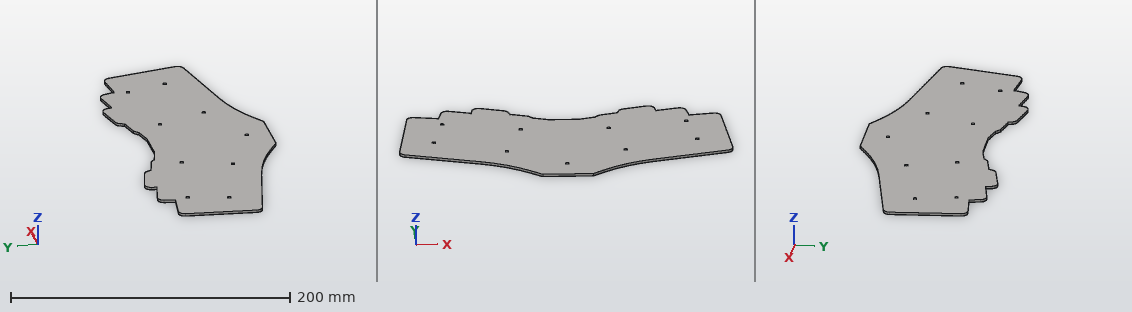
import cadquery as cq

THICKNESS = 2.0
HOLE_DIAMETER = 2.5
CORNER_RADIUS = 4.8
FRONT_SWEEP_RADIUS = 105.2

HALF_OUTLINE = [
    (18.2, 0.0, 0),
    (42.3, 17.0, FRONT_SWEEP_RADIUS),
    (120.0, 35.6, CORNER_RADIUS),
    (112.2, 95.5, CORNER_RADIUS),
    (90.0, 92.3, 0),
    (86.8, 105.0, CORNER_RADIUS),
    (66.2, 100.2, 0),
    (64.5, 109.0, CORNER_RADIUS),
    (40.5, 102.8, CORNER_RADIUS),
    (38.5, 97.5, 0),
    (25.5, 94.2, 0),
    (22.2, 91.0, 0),
    (11.0, 88.0, 0),
]

CENTRE_HOLE = (0.0, 17.0)
PAIRED_HOLES = [(87.5, 82.7), (94.5, 53.8), (31.5, 73.2), (42.5, 38.0)]


def mirrored(points):
    return [(-x, y) for x, y in points]


def make_plate():
    right_side = [(x, y) for x, y, radius in HALF_OUTLINE]
    left_side = mirrored(reversed(right_side))
    plate = cq.Workplane("XY").polyline(right_side + left_side).close().extrude(THICKNESS)
    for x, y, radius in HALF_OUTLINE:
        if radius:
            for side in (1, -1):
                corner = (side * x, y, THICKNESS / 2)
                corner_edge = cq.selectors.NearestToPointSelector(corner)
                plate = plate.edges("|Z").edges(corner_edge).fillet(radius)
    return plate


def cut_holes(plate):
    centres = [CENTRE_HOLE] + PAIRED_HOLES + mirrored(PAIRED_HOLES)
    return plate.faces(">Z").workplane(origin=(0, 0, 0)).pushPoints(centres).hole(HOLE_DIAMETER)


result = cut_holes(make_plate())